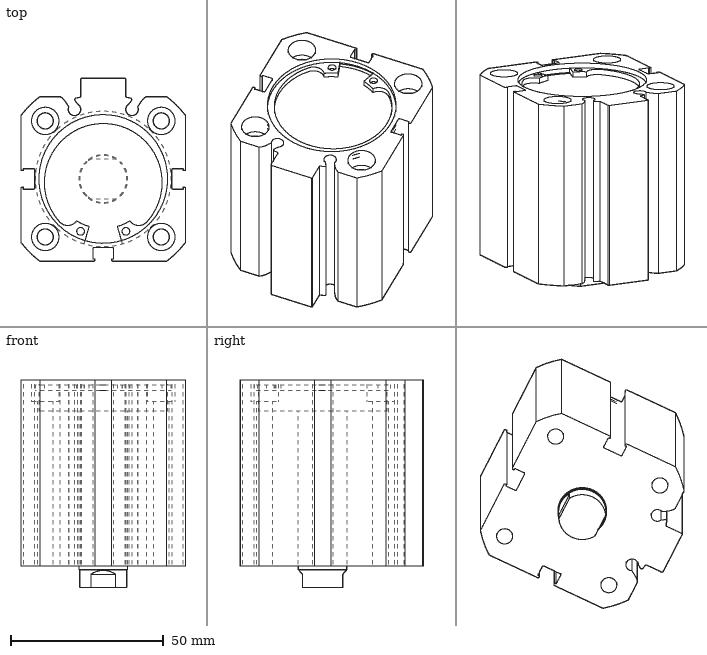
import cadquery as cq
import math


TOTAL_LENGTH = 68.0
ROD_PROJECTION = 7.0
HOUSING_HEIGHT = TOTAL_LENGTH - ROD_PROJECTION
SIDE = 54.0
HALF_SIDE = SIDE / 2
CORNER_RADIUS = 34.1

TOTAL_DEPTH = 60.0
RAIL_TOP = TOTAL_DEPTH - HALF_SIDE
RAIL_HALF_WIDTH = 7.4
RAIL_EDGE_CHAMFER = 0.3

GROOVE_RADIUS = 2.005
GROOVE_X = RAIL_HALF_WIDTH + GROOVE_RADIUS
GROOVE_Y = 22.8
GROOVE_NOSE_ANGLE = 62
GROOVE_LIP_ANGLE = 156
GROOVE_MOUTH_X = 14.15
LIP_ROUND_START = (12.25, 25.15)
LIP_ROUND_MIDDLE = (13.0, 26.1)
NOSE_FILLET_TOP_Y = 27.3
NOSE_FILLET_MIDDLE = (7.55, 26.85)
NOSE_FILLET_END = (7.95, 26.7)
NOSE_TIP_TOP = (8.9, 26.5)
NOSE_TIP_MIDDLE = (9.3, 26.1)
NOSE_TIP_BOTTOM = (9.25, 25.65)

SLOT_MOUTH = 5.45
SLOT_WIDTH = 6.65
SLOT_DEPTH = 4.5
SLOT_LIP = 0.8
SLOT_CORNER_RADIUS = 0.35
SLOT_LIP_RADIUS = 0.4

HOLE_PITCH = 38.0
HOLE_DIAMETER = 5.2
COUNTERBORE_DIAMETER = 9.0
COUNTERBORE_DEPTH = 7.0

RECESS_RADIUS = 21.1
RING_GROOVE_RADIUS = 22.25
RING_DEPTH = 1.6
RING_THICKNESS = 1.8
RING_TOP = HOUSING_HEIGHT - RING_DEPTH
RING_BOTTOM = RING_TOP - RING_THICKNESS
COVER_THICKNESS = 6.8
COVER_BOTTOM = RING_BOTTOM - COVER_THICKNESS

RING_INNER_RADIUS = 19.3
RING_INNER_OFFSET = 1.15
LUG_RADIUS = 16.25
LUG_START_ANGLE = 16.5
LUG_END_ANGLE = 32.5
LUG_HOLLOW = (12.05, -15.2)
LUG_ROOT = (14.35, -14.0)
LUG_HOLE_ANGLE = 23.4
LUG_HOLE_CENTRE_RADIUS = 18.7
LUG_HOLE_DIAMETER = 2.5

ROD_RADIUS = 7.99
ROD_TIP_RADIUS = 7.75
ROD_STEP_DROP = 1.0
ROD_STEP_CHAMFER = ROD_RADIUS - ROD_TIP_RADIUS
FLAT_DISTANCE = 6.6
FLAT_START_DROP = 2.65
FLAT_RUNOUT_HEIGHT = 1.35
FLAT_RUNOUT_WIDTH = 1.2
ROD_END_CHAMFER_HEIGHT = 0.5
ROD_END_CHAMFER_INSET = 0.1


def polar(radius, angle, centre=(0, 0)):
    """Point at an angle in degrees from +X about a centre."""
    turn = math.radians(angle)
    return (centre[0] + radius * math.cos(turn), centre[1] + radius * math.sin(turn))


def from_minus_y(radius, angle):
    """Point at an angle in degrees from -Y, counted towards +X."""
    return polar(radius, angle - 90)


def cylinder(radius, bottom, top):
    return cq.Workplane("XY").workplane(offset=bottom).circle(radius).extrude(top - bottom)



def housing_blank():
    square = cq.Workplane("XY").rect(SIDE, SIDE).extrude(HOUSING_HEIGHT)
    return square.intersect(cylinder(CORNER_RADIUS, 0, HOUSING_HEIGHT))


def rail():
    return (
        cq.Workplane("XY")
        .center(0, RAIL_TOP / 2)
        .rect(2 * RAIL_HALF_WIDTH, RAIL_TOP)
        .extrude(HOUSING_HEIGHT)
        .edges("|Z and >Y")
        .chamfer(RAIL_EDGE_CHAMFER)
    )


def rail_groove():
    """Sensor groove on the +X side of the rail, bounded inward by the rail nose."""
    centre = (GROOVE_X, GROOVE_Y)
    nose_foot = polar(GROOVE_RADIUS, 180 - GROOVE_NOSE_ANGLE, centre)
    outer_lip = polar(GROOVE_RADIUS, 180 - GROOVE_LIP_ANGLE, centre)
    groove_floor = polar(GROOVE_RADIUS, -90, centre)
    return (
        cq.Workplane("XY")
        .moveTo(*nose_foot)
        .threePointArc(groove_floor, outer_lip)
        .lineTo(*LIP_ROUND_START)
        .threePointArc(LIP_ROUND_MIDDLE, (GROOVE_MOUTH_X, HALF_SIDE))
        .lineTo(GROOVE_MOUTH_X, RAIL_TOP)
        .lineTo(RAIL_HALF_WIDTH, RAIL_TOP)
        .lineTo(RAIL_HALF_WIDTH, NOSE_FILLET_TOP_Y)
        .threePointArc(NOSE_FILLET_MIDDLE, NOSE_FILLET_END)
        .lineTo(*NOSE_TIP_TOP)
        .threePointArc(NOSE_TIP_MIDDLE, NOSE_TIP_BOTTOM)
        .close()
        .extrude(HOUSING_HEIGHT)
    )


def side_slot():
    """Undercut slot on the +X side, with a mouth that flares in a round to the outer face."""
    lip_inside = HALF_SIDE - SLOT_LIP
    round_start = HALF_SIDE - SLOT_LIP_RADIUS
    half_mouth = SLOT_MOUTH / 2
    half_flare = half_mouth + SLOT_LIP_RADIUS
    chamber_length = SLOT_DEPTH - SLOT_LIP
    chamber = (
        cq.Workplane("XY")
        .center(lip_inside - chamber_length / 2, 0)
        .rect(chamber_length, SLOT_WIDTH)
        .extrude(HOUSING_HEIGHT)
        .edges("|Z and <X")
        .fillet(SLOT_CORNER_RADIUS)
    )
    mouth = (
        cq.Workplane("XY")
        .moveTo(lip_inside, -half_mouth)
        .lineTo(round_start, -half_mouth)
        .radiusArc((HALF_SIDE, -half_flare), SLOT_LIP_RADIUS)
        .lineTo(HALF_SIDE, half_flare)
        .radiusArc((round_start, half_mouth), SLOT_LIP_RADIUS)
        .lineTo(lip_inside, half_mouth)
        .close()
        .extrude(HOUSING_HEIGHT)
    )
    return chamber.union(mouth)


def make_housing():
    body = housing_blank().union(rail())
    groove = rail_groove()
    body = body.cut(groove).cut(groove.mirror("YZ"))
    for angle in (0, 180, 270):
        body = body.cut(side_slot().rotate((0, 0, 0), (0, 0, 1), angle))
    body = (
        body.faces(">Z")
        .workplane(origin=(0, 0, HOUSING_HEIGHT))
        .rect(HOLE_PITCH, HOLE_PITCH, forConstruction=True)
        .vertices()
        .cboreHole(HOLE_DIAMETER, COUNTERBORE_DIAMETER, COUNTERBORE_DEPTH)
    )
    body = body.cut(cylinder(RECESS_RADIUS, COVER_BOTTOM, HOUSING_HEIGHT))
    body = body.cut(cylinder(RING_GROOVE_RADIUS, RING_BOTTOM, RING_TOP))
    return body.cut(cylinder(ROD_RADIUS, 0, COVER_BOTTOM))



def make_cover():
    return cylinder(RECESS_RADIUS, COVER_BOTTOM, RING_BOTTOM)



def make_retaining_ring():
    def mirrored(point):
        return (-point[0], point[1])

    outer_end = from_minus_y(RING_GROOVE_RADIUS, LUG_START_ANGLE)
    lug_start = from_minus_y(LUG_RADIUS, LUG_START_ANGLE)
    lug_middle = from_minus_y(LUG_RADIUS, (LUG_START_ANGLE + LUG_END_ANGLE) / 2)
    lug_end = from_minus_y(LUG_RADIUS, LUG_END_ANGLE)
    ring_back = (0, RING_INNER_RADIUS - RING_INNER_OFFSET)
    lug_hole = from_minus_y(LUG_HOLE_CENTRE_RADIUS, LUG_HOLE_ANGLE)
    return (
        cq.Workplane("XY")
        .workplane(offset=RING_BOTTOM)
        .moveTo(*outer_end)
        .lineTo(*lug_start)
        .threePointArc(lug_middle, lug_end)
        .threePointArc(LUG_HOLLOW, LUG_ROOT)
        .threePointArc(ring_back, mirrored(LUG_ROOT))
        .threePointArc(mirrored(LUG_HOLLOW), mirrored(lug_end))
        .threePointArc(mirrored(lug_middle), mirrored(lug_start))
        .lineTo(*mirrored(outer_end))
        .threePointArc((0, RING_GROOVE_RADIUS), outer_end)
        .close()
        .extrude(RING_THICKNESS)
        .faces(">Z")
        .workplane(origin=(0, 0, RING_TOP))
        .pushPoints([lug_hole, mirrored(lug_hole)])
        .hole(LUG_HOLE_DIAMETER)
    )



def wrench_flat():
    """Cutter for the flat on the -Y side, with its sloping run-out."""
    beyond = FLAT_DISTANCE + FLAT_RUNOUT_WIDTH
    runout_top = -FLAT_START_DROP + FLAT_RUNOUT_HEIGHT
    return (
        cq.Workplane("YZ")
        .moveTo(-FLAT_DISTANCE, -ROD_PROJECTION)
        .lineTo(-FLAT_DISTANCE, -FLAT_START_DROP)
        .lineTo(-beyond, runout_top)
        .lineTo(-beyond, -ROD_PROJECTION)
        .close()
        .extrude(ROD_RADIUS, both=True)
    )


def make_rod():
    rod = (
        cq.Workplane("XZ")
        .moveTo(0, COVER_BOTTOM)
        .lineTo(ROD_RADIUS, COVER_BOTTOM)
        .lineTo(ROD_RADIUS, -ROD_STEP_DROP)
        .lineTo(ROD_TIP_RADIUS, -ROD_STEP_DROP - ROD_STEP_CHAMFER)
        .lineTo(ROD_TIP_RADIUS, -ROD_PROJECTION + ROD_END_CHAMFER_HEIGHT)
        .lineTo(ROD_TIP_RADIUS - ROD_END_CHAMFER_INSET, -ROD_PROJECTION)
        .lineTo(0, -ROD_PROJECTION)
        .close()
        .revolve(360, (0, 0, 0), (0, 1, 0))
    )
    flat = wrench_flat()
    return rod.cut(flat).cut(flat.mirror("XZ"))


housing = make_housing()
cover = make_cover()
retaining_ring = make_retaining_ring()
rod = make_rod()

result = cq.Compound.makeCompound(
    [housing.val(), cover.val(), retaining_ring.val(), rod.val()]
)